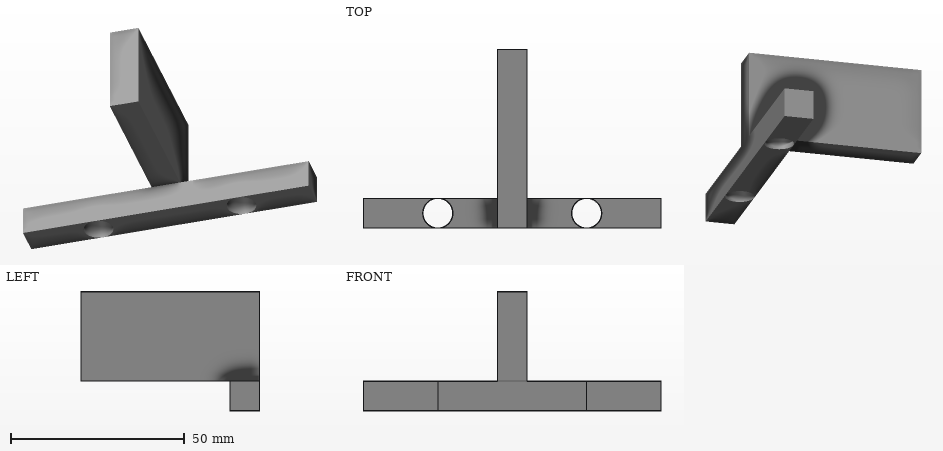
import cadquery as cq

bar_width = 8.557
bar_length = 10 * bar_width
plate_depth = 6 * bar_width
plate_height = 3 * bar_width

hole_radius = bar_width / 2
hole_offset = bar_length / 4

half_length = bar_length / 2
hole_center_y = bar_width / 2


def make_stem():
    """Middle length of the bar, hollowed at both ends, carrying the upright plate."""
    middle = (
        cq.Workplane("XY")
        .moveTo(-hole_offset, 0)
        .lineTo(hole_offset, 0)
        .threePointArc((hole_offset - hole_radius, hole_center_y), (hole_offset, bar_width))
        .lineTo(-hole_offset, bar_width)
        .threePointArc((hole_radius - hole_offset, hole_center_y), (-hole_offset, 0))
        .close()
        .extrude(bar_width)
    )
    plate = (
        cq.Workplane("XY")
        .box(bar_width, plate_depth, plate_height, centered=(True, False, False))
        .translate((0, 0, bar_width))
    )
    return middle.union(plate, clean=False)


def make_bar_end(side):
    """Outer length of the bar, hollowed on its inner end; side is -1 (left) or +1 (right)."""
    return (
        cq.Workplane("XY")
        .moveTo(side * half_length, 0)
        .lineTo(side * hole_offset, 0)
        .threePointArc(
            (side * (hole_offset + hole_radius), hole_center_y),
            (side * hole_offset, bar_width),
        )
        .lineTo(side * half_length, bar_width)
        .close()
        .extrude(bar_width)
    )


stem = make_stem()
bar_ends = [make_bar_end(side) for side in (-1, 1)]

result = cq.Compound.makeCompound([stem.solids().val(), *[bar_end.val() for bar_end in bar_ends]])